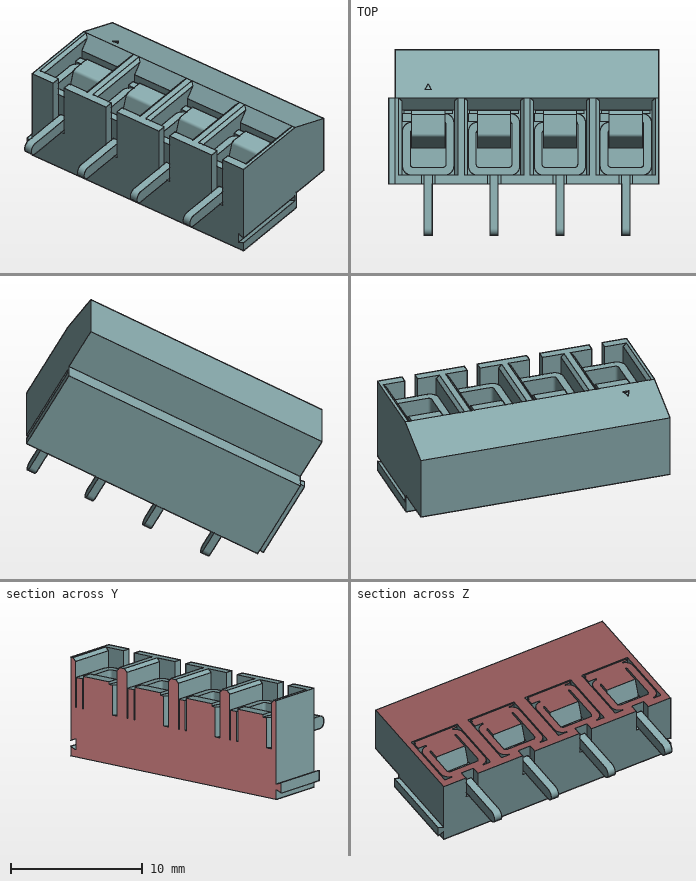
import cadquery as cq

WAYS = 4
OVERALL_LENGTH = 20.5
PITCH = 5.0
OVERLAP = 0.02

HOUSING_LENGTH = WAYS * PITCH
HOUSING_DEPTH = 10.2
HOUSING_HEIGHT = 7.8
FLAT_TOP_DEPTH = 6.54
BACK_HEIGHT = 6.4
FOOT_DEPTH = 6.75
FOOT_HEIGHT = 1.44

RAIL_REACH = OVERALL_LENGTH - HOUSING_LENGTH
RAIL_LENGTH = 6.54
RAIL_CENTRE_Z = 1.0
RAIL_OUTER_HEIGHT = 0.82
RAIL_ROOT_HEIGHT = 0.45

FRONT_WALL = 0.68
MOUTH_WIDTH = 4.5
POCKET_WIDTH = 4.0
POCKET_BACK_Y = 5.64
POCKET_FLOOR_Z = 3.94
SIDE_CHAMFER = (MOUTH_WIDTH - POCKET_WIDTH) / 2
BACK_SLOPE_HEIGHT = 1.05
SLOT_WIDTH = 1.02
SLOT_FLOOR_Z = 3.45

CAGE_WIDTH = 3.9
CAGE_STRIP = 0.6
CAGE_TOP_Z = 6.3
CAGE_CURL_Y = 4.7
CAGE_BACK_Y = 5.35
CAGE_OUTER_RADIUS = 0.7
CAGE_INNER_RADIUS = 0.23

WEDGE_WIDTH = 2.52
WEDGE_TOP_Z = 6.5
WEDGE_FOOT_Y = 2.73
WEDGE_CREST_Y = 3.6
WEDGE_CREST_RADIUS = 0.27
WEDGE_BACK_Y = 5.58
WEDGE_BACK_CHAMFER = 0.29

PLATE_WIDTH = 3.7
PLATE_TOP_Z = 6.09

PIN_WIDTH = 0.64
PIN_HEIGHT = 0.98
PIN_LENGTH = 3.9
PIN_BOTTOM_Z = 3.5

MARK_WIDTH = 0.5
MARK_BASE_Y = 7.18
MARK_TIP_Y = 7.6
MARK_DEPTH = 0.1


def box(x0, x1, y0, y1, z0, z1):
    """Box between two opposite corners."""
    return cq.Workplane("XY").box(x1 - x0, y1 - y0, z1 - z0, centered=False).translate((x0, y0, z0))


def centred_box(centre_x, width, y0, y1, z0, z1):
    """Box whose width is centred on a given X."""
    return box(centre_x - width / 2, centre_x + width / 2, y0, y1, z0, z1)


def make_housing():
    """Side outline with sloping roof and stepped foot, extruded along the row."""
    outline = [
        (0, 0),
        (FOOT_DEPTH, 0),
        (FOOT_DEPTH, FOOT_HEIGHT),
        (HOUSING_DEPTH, FOOT_HEIGHT),
        (HOUSING_DEPTH, BACK_HEIGHT),
        (FLAT_TOP_DEPTH, HOUSING_HEIGHT),
        (0, HOUSING_HEIGHT),
    ]
    return cq.Workplane("YZ").polyline(outline).close().extrude(HOUSING_LENGTH)


def make_rail(root_x):
    """Dovetail running back from the front face, widening towards -X."""
    tip_x = root_x - RAIL_REACH
    outline = [
        (root_x, RAIL_CENTRE_Z - RAIL_ROOT_HEIGHT / 2),
        (tip_x, RAIL_CENTRE_Z - RAIL_OUTER_HEIGHT / 2),
        (tip_x, RAIL_CENTRE_Z + RAIL_OUTER_HEIGHT / 2),
        (root_x, RAIL_CENTRE_Z + RAIL_ROOT_HEIGHT / 2),
    ]
    return cq.Workplane("XZ").polyline(outline).close().extrude(-RAIL_LENGTH)


def make_pocket(centre_x):
    """Open-topped pocket with side chamfers, a sloping back and a slot for the pin."""
    side_outline = [
        (FRONT_WALL, POCKET_FLOOR_Z),
        (POCKET_BACK_Y, POCKET_FLOOR_Z),
        (POCKET_BACK_Y, HOUSING_HEIGHT - BACK_SLOPE_HEIGHT),
        (FLAT_TOP_DEPTH, HOUSING_HEIGHT),
        (FRONT_WALL, HOUSING_HEIGHT),
    ]
    half_mouth = MOUTH_WIDTH / 2
    half_pocket = POCKET_WIDTH / 2
    chamfer_z = HOUSING_HEIGHT - SIDE_CHAMFER
    front_outline = [
        (centre_x - half_pocket, POCKET_FLOOR_Z),
        (centre_x + half_pocket, POCKET_FLOOR_Z),
        (centre_x + half_pocket, chamfer_z),
        (centre_x + half_mouth, HOUSING_HEIGHT),
        (centre_x - half_mouth, HOUSING_HEIGHT),
        (centre_x - half_pocket, chamfer_z),
    ]
    lengthwise = cq.Workplane("YZ").polyline(side_outline).close().extrude(HOUSING_LENGTH)
    crosswise = cq.Workplane("XZ").polyline(front_outline).close().extrude(-HOUSING_DEPTH)
    slot = centred_box(centre_x, SLOT_WIDTH, 0, FRONT_WALL, SLOT_FLOOR_Z, HOUSING_HEIGHT)
    return lengthwise.intersect(crosswise).union(slot)


def make_cage(centre_x):
    """Strip loop: the left end curls in, the right end laps over it behind."""
    left = centre_x - CAGE_WIDTH / 2
    right = centre_x + CAGE_WIDTH / 2
    bottom, top = POCKET_FLOOR_Z - OVERLAP, CAGE_TOP_Z

    loop = box(left, right, FRONT_WALL, CAGE_CURL_Y, bottom, top)
    loop = loop.edges("|Z").edges("<X or <Y").fillet(CAGE_OUTER_RADIUS)
    lap = box(left, right, CAGE_BACK_Y - CAGE_STRIP, CAGE_BACK_Y, bottom, top)
    right_half = box(centre_x, right, CAGE_CURL_Y - CAGE_STRIP, CAGE_BACK_Y, bottom, top)
    outside = loop.union(lap).union(right_half)
    outside = outside.edges("|Z and >X and >Y").fillet(CAGE_OUTER_RADIUS)

    inner_left, inner_right = left + CAGE_STRIP, right - CAGE_STRIP
    inner_front = FRONT_WALL + CAGE_STRIP
    opening = box(inner_left, inner_right, inner_front, CAGE_CURL_Y - CAGE_STRIP, bottom, top)
    past_curl = box(centre_x, inner_right, inner_front, CAGE_BACK_Y - CAGE_STRIP, bottom, top)
    opening = opening.union(past_curl)
    opening = opening.edges("|Z").edges("<X or >X").fillet(CAGE_INNER_RADIUS)
    return outside.cut(opening)


def make_wedge(centre_x):
    """Clamp wedge with a steep front, a rounded crest and a chamfered back."""
    outline = [
        (WEDGE_FOOT_Y, POCKET_FLOOR_Z),
        (WEDGE_CREST_Y, WEDGE_TOP_Z),
        (WEDGE_BACK_Y - WEDGE_BACK_CHAMFER, WEDGE_TOP_Z),
        (WEDGE_BACK_Y, WEDGE_TOP_Z - WEDGE_BACK_CHAMFER),
        (WEDGE_BACK_Y, POCKET_FLOOR_Z),
    ]
    wedge = cq.Workplane("YZ").polyline(outline).close().extrude(WEDGE_WIDTH)
    crest = cq.selectors.NearestToPointSelector((WEDGE_WIDTH / 2, WEDGE_CREST_Y, WEDGE_TOP_Z))
    wedge = wedge.edges(crest).fillet(WEDGE_CREST_RADIUS)
    return wedge.translate((centre_x - WEDGE_WIDTH / 2, 0, 0))


def make_plate(centre_x):
    """Upright plate filling the gap behind the cage."""
    bottom = POCKET_FLOOR_Z - OVERLAP
    return centred_box(centre_x, PLATE_WIDTH, CAGE_BACK_Y, WEDGE_BACK_Y, bottom, PLATE_TOP_Z)


def make_pin(centre_x):
    """Round-ended solder pin leaving the cage through the front slot."""
    root_y = FRONT_WALL + OVERLAP
    round_y = -PIN_LENGTH + PIN_HEIGHT / 2
    top_z = PIN_BOTTOM_Z + PIN_HEIGHT
    middle_z = PIN_BOTTOM_Z + PIN_HEIGHT / 2
    pin = (
        cq.Workplane("YZ")
        .moveTo(root_y, PIN_BOTTOM_Z)
        .lineTo(round_y, PIN_BOTTOM_Z)
        .threePointArc((-PIN_LENGTH, middle_z), (round_y, top_z))
        .lineTo(root_y, top_z)
        .close()
        .extrude(PIN_WIDTH)
    )
    return pin.translate((centre_x - PIN_WIDTH / 2, 0, 0))


def make_mark(centre_x):
    """Triangular prism that leaves a mark of even depth in the sloping roof."""
    half = MARK_WIDTH / 2
    outline = [(centre_x - half, MARK_BASE_Y), (centre_x + half, MARK_BASE_Y), (centre_x, MARK_TIP_Y)]
    prism = cq.Workplane("XY").polyline(outline).close().extrude(HOUSING_HEIGHT)
    return prism.cut(make_housing().translate((0, 0, -MARK_DEPTH)))


way_centres = [PITCH * (way + 0.5) for way in range(WAYS)]

result = make_housing().union(make_rail(0)).cut(make_rail(HOUSING_LENGTH))
for way_x in way_centres:
    result = result.cut(make_pocket(way_x))
    for make_fitting in (make_cage, make_plate, make_wedge, make_pin):
        result = result.union(make_fitting(way_x))
result = result.cut(make_mark(way_centres[0]))